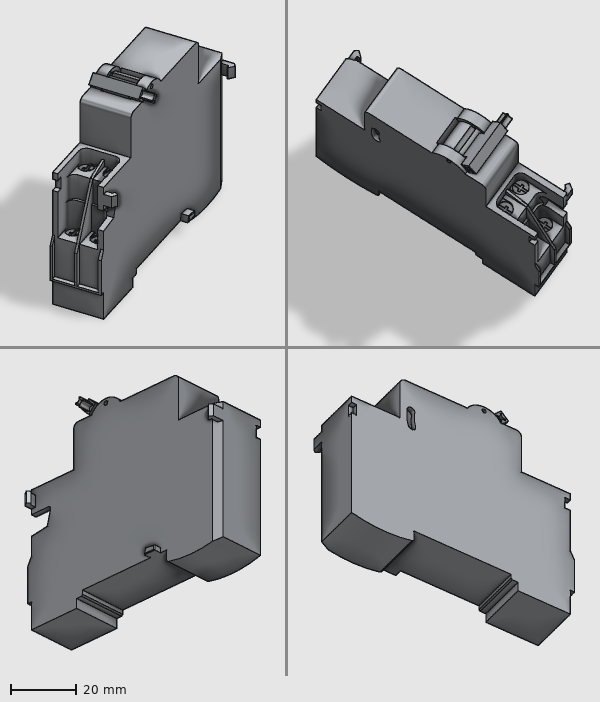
import cadquery as cq
import math


overall_height = 71.3
width = 17.65
rear_y = 80.9
shoulder_z = 49.2
tower_front_y = 18.1
tower_rear_y = 63.0
tower_top_z = 65.4
tower_corner_radius = 2.1
lip_depth = 1.6
lip_bottom_z = 9.8
lip_slope_start_z = 22.8
lip_top_z = 25.8
rear_foot_y = 57.9
rear_foot_edge_z = 1.65
rear_foot_chamfer_y = 0.7
rear_foot_chamfer_z = 0.5
rear_foot_low_y = 68.6
channel_z = 5.45
step_y = 21.95
step_z = 3.5
step_chamfer = 0.5
front_foot_y = 19.4
rear_bevel_x = 1.2
rear_bevel_y = 3.3

axis_y = 31.9
axis_z = 61.7
dome_radius = 7.2
hub_radius = 5.8
hub_slot_half_length = 6.85
hub_slot_end_run = 1.2
hub_slot_depth = 2.3
hub_slot_x0 = 3.6
hub_slot_x1 = 13.8
pin_hole_z = 67.2
pin_hole_radius = 0.75
pin_groove_radius = 0.9
lever_x0 = 0.9
lever_x1 = 18.15
lever_half_diagonal = 2.8
lever_y = 25.1
lever_z = overall_height - lever_half_diagonal
tab_x0 = 4.0
tab_x1 = 13.2
tab_reach = 2.1
star_end_x = 22.2
star_reach = 1.7
star_arm_half_width = 0.25
star_inner_radius = 0.8

wall = 1.8
pocket_x1 = 15.6
pocket_back_y = 16.6
pocket_radius = 2.55
terrace_z = 44.1
ledge_z = 35.15
floor_z = 25.3
riser_upper_y = 8.8
riser_lower_y = 7.9
rib_x0 = 8.4
rib_x1 = 9.3
rib_top_z = 46.5
rib_knee_z = 44.2
lip_wall_left = 0.75
lip_wall_right = 1.1
lip_floor_z = 10.6

screw_radius = pocket_radius
screw_recess = 1.0
screw_corner_depth = 0.5
screw_slot_width = 0.8
screw_slot_depth = 0.4
screw_cross_length = 2.5
left_screw_x = wall + pocket_radius
right_screw_x = pocket_x1 - pocket_radius

hook_z0 = 42.4
hook_z1 = 46.6
hook_thickness = 1.8
hook_throat_x = 19.6
hook_tip_x = 21.6
rear_hook_nose_x = 20.7
rear_hook_tip_y = 79.8
rear_hook_barb_x = 20.05
rear_hook_barb_y = 78.0
front_hook_nose_x = 20.5
front_hook_tip_y = 1.7
front_hook_barb_y = 2.6
rear_notch_depth = 1.8
front_notch_depth = 2.1
window_x0 = 14.2
window_front_z = 32.8
window_back_z = 33.75
window_back_y = 6.8
window_top_y = 8.5
window_top_z = 40.4
window_radius = 1.0
arc_slot_pivot_y = 45.95
arc_slot_pivot_z = 51.65
arc_slot_radius = 13.2
arc_slot_half_width = 1.4
arc_slot_top_angle = 10.0
arc_slot_bottom_angle = -16.0
arc_slot_depth = 1.8
peg_end_x = 20.5
peg_front_y = 50.9
peg_ridge_y = 51.5
peg_rear_y = 55.35
peg_ridge_z = 7.75
peg_rear_z = 7.3
peg_chamfer = 0.25


def side_prism(points, x0, x1):
    """Closed (y, z) outline extruded along X from x0 to x1."""
    return cq.Workplane("YZ", origin=(x0, 0, 0)).polyline(points).close().extrude(x1 - x0)


def side_cylinder(y, z, radius, x0, x1):
    return cq.Workplane("YZ", origin=(x0, y, z)).circle(radius).extrude(x1 - x0)


def block(x0, x1, y0, y1, z0, z1):
    return cq.Workplane("XY").box(x1 - x0, y1 - y0, z1 - z0, centered=False).translate((x0, y0, z0))


def make_housing():
    foot_end_y = rear_foot_y + rear_foot_chamfer_y
    foot_end_z = rear_foot_edge_z - rear_foot_chamfer_z
    body = (
        cq.Workplane("YZ")
        .moveTo(0, 0)
        .lineTo(front_foot_y, 0)
        .lineTo(front_foot_y, step_z)
        .lineTo(step_y - step_chamfer, step_z)
        .lineTo(step_y, step_z + step_chamfer)
        .lineTo(step_y, channel_z)
        .lineTo(rear_foot_y, channel_z)
        .lineTo(rear_foot_y, rear_foot_edge_z)
        .lineTo(foot_end_y, foot_end_z)
        .threePointArc((rear_foot_low_y, 0), (rear_y, rear_foot_edge_z))
        .lineTo(rear_y, shoulder_z)
        .lineTo(tower_rear_y, shoulder_z)
        .lineTo(tower_rear_y, tower_top_z)
        .lineTo(tower_front_y, tower_top_z)
        .lineTo(tower_front_y, shoulder_z)
        .lineTo(0, shoulder_z)
        .lineTo(0, lip_top_z)
        .lineTo(-lip_depth, lip_slope_start_z)
        .lineTo(-lip_depth, lip_bottom_z)
        .lineTo(0, lip_bottom_z)
        .close()
        .extrude(width)
    )
    body = body.faces(">Z").edges("|X").fillet(tower_corner_radius)
    bevel = (
        cq.Workplane("XY")
        .polyline([(width - rear_bevel_x, rear_y), (width, rear_y), (width, rear_y - rear_bevel_y)])
        .close()
        .extrude(shoulder_z)
    )
    return body.cut(bevel)


def pocket_level(back_y, z0, z1):
    """Part of the terminal pocket, open to the front, with two rounded back corners."""
    level = block(wall, pocket_x1, -lip_depth, back_y, z0, z1)
    return level.faces(">Y").edges("|Z").fillet(pocket_radius)


def make_pocket():
    pocket = pocket_level(pocket_back_y, terrace_z, shoulder_z)
    pocket = pocket.union(pocket_level(riser_upper_y, ledge_z, shoulder_z))
    pocket = pocket.union(pocket_level(riser_lower_y, floor_z, shoulder_z))
    lip_recess = block(lip_wall_left, width - lip_wall_right, -lip_depth, 0, lip_floor_z, shoulder_z)
    return pocket.union(lip_recess)


def make_rib():
    """Partition between the two terminals, with a two-slope top edge."""
    outline = [
        (-lip_depth, lip_bottom_z),
        (-lip_depth, lip_slope_start_z),
        (riser_upper_y, rib_knee_z),
        (pocket_back_y, rib_top_z),
        (pocket_back_y, lip_bottom_z),
    ]
    return side_prism(outline, rib_x0, rib_x1)


def make_screw_recess(x, back_y, z, inward):
    """Round recess with a screwdriver cross in its floor, squared off by the back wall.

    inward is +1 or -1, the X direction from the screw towards the rib.
    """
    y = back_y - pocket_radius
    floor = z - screw_recess
    recess = cq.Workplane("XY", origin=(x, y, floor)).circle(screw_radius).extrude(screw_recess)
    corner_x = sorted((x, x + inward * screw_radius))
    corner = block(*corner_x, y, back_y, z - screw_corner_depth, z)
    slots = cq.Workplane("XY", origin=(x, y, floor - screw_slot_depth))
    long_slot = slots.rect(screw_slot_width, 2 * screw_radius).extrude(screw_slot_depth)
    round_limit = slots.circle(screw_radius).extrude(screw_slot_depth)
    short_slot = slots.rect(screw_cross_length, screw_slot_width).extrude(screw_slot_depth)
    return recess.union(corner).union(long_slot.intersect(round_limit)).union(short_slot)


def make_window():
    """Opening in the +X wall, with a sloping floor and a leaning back."""
    outline = [
        (0, window_front_z),
        (window_back_y, window_back_z),
        (window_top_y, window_top_z),
        (0, window_top_z),
    ]
    window = side_prism(outline, window_x0, width)
    return window.edges("|X and >Y").fillet(window_radius)


def make_arc_slot():
    def at(radius, degrees):
        angle = math.radians(degrees)
        return (arc_slot_pivot_y + radius * math.cos(angle), arc_slot_pivot_z + radius * math.sin(angle))

    inner = arc_slot_radius - arc_slot_half_width
    outer = arc_slot_radius + arc_slot_half_width
    low = arc_slot_bottom_angle
    high = arc_slot_top_angle
    middle = (low + high) / 2
    slot = (
        cq.Workplane("YZ")
        .moveTo(*at(inner, low))
        .threePointArc(at(inner, middle), at(inner, high))
        .lineTo(*at(outer, high))
        .threePointArc(at(outer, middle), at(outer, low))
        .close()
        .extrude(arc_slot_depth)
    )
    for degrees in (low, high):
        slot = slot.union(side_cylinder(*at(arc_slot_radius, degrees), arc_slot_half_width, 0, arc_slot_depth))
    return slot


def make_hook(outline):
    """Snap hook on the +X side from an (x, y) outline."""
    return cq.Workplane("XY", origin=(0, 0, hook_z0)).polyline(outline).close().extrude(hook_z1 - hook_z0)


def make_star(x0, x1):
    """Four-armed drive profile with rounded inner corners."""
    arm = 2 * star_arm_half_width
    reach = 2 * star_reach
    face = cq.Workplane("YZ", origin=(x0, lever_y, lever_z))
    star = face.rect(arm, reach).extrude(x1 - x0).union(face.rect(reach, arm).extrude(x1 - x0))
    inner_corners = cq.selectors.BoxSelector(
        (x0 - arm, lever_y - arm, lever_z - arm),
        (x1 + arm, lever_y + arm, lever_z + arm),
    )
    return star.edges("|X").edges(inner_corners).fillet(star_inner_radius)


def make_lever():
    """Square bar set on edge, with a tab running down to the hub, a socket and a drive pin."""
    d = lever_half_diagonal
    top = (lever_y, lever_z + d)
    front = (lever_y - d, lever_z)
    bottom = (lever_y, lever_z - d)
    rear = (lever_y + d, lever_z)
    bar = side_prism([top, front, bottom, rear], lever_x0, lever_x1)
    tab_outline = [
        bottom,
        (bottom[0] + tab_reach, bottom[1] - tab_reach),
        (rear[0] + tab_reach, rear[1] - tab_reach),
        rear,
    ]
    tab = side_prism(tab_outline, tab_x0, tab_x1)
    pin_length = star_end_x - lever_x1
    socket = make_star(lever_x0, lever_x0 + pin_length)
    return bar.union(tab).cut(socket).union(make_star(lever_x1, star_end_x))


def add_toggle(body):
    body = body.union(side_cylinder(axis_y, axis_z, dome_radius, 0, width))
    floor_half = hub_slot_half_length - hub_slot_end_run
    floor_slot_z = tower_top_z - hub_slot_depth
    rise = dome_radius
    rim_slot_z = floor_slot_z + rise
    rim_half = floor_half + rise * hub_slot_end_run / hub_slot_depth
    slot_outline = [
        (axis_y - floor_half, floor_slot_z),
        (axis_y + floor_half, floor_slot_z),
        (axis_y + rim_half, rim_slot_z),
        (axis_y - rim_half, rim_slot_z),
    ]
    slot = side_prism(slot_outline, hub_slot_x0, hub_slot_x1)
    hub = side_cylinder(axis_y, axis_z, hub_radius, hub_slot_x0, hub_slot_x1)
    groove = side_cylinder(axis_y, pin_hole_z, pin_groove_radius, hub_slot_x0, hub_slot_x1)
    pin_hole = side_cylinder(axis_y, pin_hole_z, pin_hole_radius, 0, width)
    return body.cut(slot).union(hub).union(make_lever()).cut(groove).cut(pin_hole)


def add_terminals(body):
    body = body.cut(make_pocket()).cut(make_window())
    for back_y, z in ((pocket_back_y, terrace_z), (riser_lower_y, floor_z)):
        body = body.cut(make_screw_recess(left_screw_x, back_y, z, 1))
        body = body.cut(make_screw_recess(right_screw_x, back_y, z, -1))
    return body.union(make_rib())


def add_side_features(body):
    body = body.cut(make_arc_slot())
    body = body.cut(block(0, wall, rear_y - rear_notch_depth, rear_y, hook_z0, hook_z1))
    body = body.cut(block(0, wall, 0, front_notch_depth, hook_z0, hook_z1))
    root_x = width - rear_bevel_x
    rear_hook = make_hook([
        (root_x, rear_y),
        (rear_hook_nose_x, rear_y),
        (hook_tip_x, rear_hook_tip_y),
        (rear_hook_barb_x, rear_hook_barb_y),
        (hook_throat_x, rear_hook_barb_y),
        (hook_throat_x, rear_y - hook_thickness),
        (root_x, rear_y - hook_thickness),
    ])
    front_hook = make_hook([
        (pocket_x1, 0),
        (front_hook_nose_x, 0),
        (hook_tip_x, front_hook_tip_y),
        (front_hook_nose_x, front_hook_barb_y),
        (hook_throat_x, hook_thickness),
        (pocket_x1, hook_thickness),
    ])
    peg_outline = [
        (peg_front_y, channel_z),
        (peg_ridge_y, peg_ridge_z),
        (peg_rear_y, peg_rear_z),
        (peg_rear_y, channel_z),
    ]
    peg = side_prism(peg_outline, width, peg_end_x)
    peg = peg.faces(">X").chamfer(peg_chamfer)
    return body.union(rear_hook).union(front_hook).union(peg)


result = add_side_features(add_terminals(add_toggle(make_housing())))